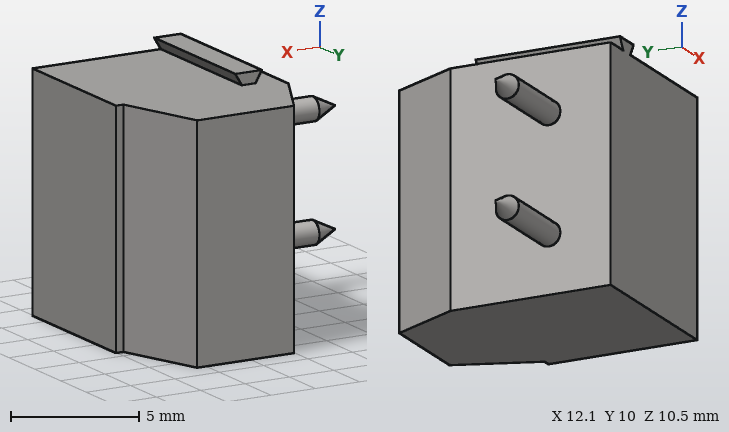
import cadquery as cq

total_length = 12.1
pin_length = 4.6
body_depth = total_length - pin_length
body_height = 10.0
body_width = 10.0

pin_side_slope_depth = 1.5
pin_side_slope_height = 3.0
far_slope_start = 5.87
far_slope_end = 7.16
shoulder_height = 6.5

rail_height = 0.5
rail_top_width = 1.2
rail_neck_width = 0.62
rail_center = 1.4
rail_length = 6.3

pin_count = 2
pin_diameter = 1.0
pin_tip_length = 1.0
pin_height = 2.7
pin_pitch = body_width / pin_count


def make_body():
    """Block with two sloped faces, extruded along the width."""
    outline = [
        (0, 0),
        (body_depth, 0),
        (body_depth, shoulder_height),
        (far_slope_end, shoulder_height),
        (far_slope_start, body_height),
        (pin_side_slope_depth, body_height),
        (0, body_height - pin_side_slope_height),
    ]
    return cq.Workplane("XY").polyline(outline).close().extrude(body_width)


def make_rail():
    """Dovetail starting at the -Y face, narrow where it meets the body."""
    rail_top = body_width + rail_height
    outline = [
        (rail_center - rail_neck_width / 2, body_width),
        (rail_center + rail_neck_width / 2, body_width),
        (rail_center + rail_top_width / 2, rail_top),
        (rail_center - rail_top_width / 2, rail_top),
    ]
    return cq.Workplane("XZ").polyline(outline).close().extrude(-rail_length)


def make_pin(z):
    """Round pin with a conical tip, revolved about its own X axis."""
    radius = pin_diameter / 2
    half_profile = [
        (0, 0),
        (0, radius),
        (pin_tip_length - pin_length, radius),
        (-pin_length, 0),
    ]
    pin = cq.Workplane("XY").polyline(half_profile).close().revolve(360, (0, 0, 0), (1, 0, 0))
    return pin.translate((0, pin_height, z))


result = make_body().union(make_rail())
for index in range(pin_count):
    result = result.union(make_pin((index + 0.5) * pin_pitch))